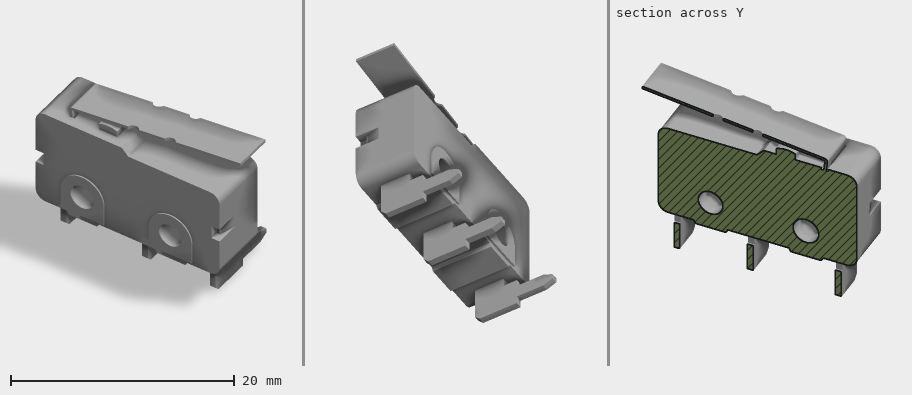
import cadquery as cq
import math

total_length = 21.4
lever_tip_height = 13.38

case_length = 19.8
case_depth = 6.1
case_height = 10.2
step_drop = 0.7
step_start = 9.27
corner_radius = 1.03

holes = ((5.1, 2.5), (14.58, 2.4))
hole_height = 2.5
pad_radius = 2.31
pad_bottom = 0.28
front_pad_thickness = 0.15
back_pad_thickness = 0.17
pad_to_pad_depth = front_pad_thickness + case_depth + back_pad_thickness
foot_height = 0.35
foot_top_width = 3.43
foot_bottom_width = 3.05

recess_bottom = 4.17
recess_height = 1.4
recess_depth = 0.85
recess_width = 0.85
latch_depth = 0.5
latch_land = 0.13
latch_end = 2.38

terminals = ((1.86, 0.65), (10.65, 0.65), (17.95, 0.6))
shank_front = 1.7
shank_back = 4.67
plate_top = -0.88
plate_bottom = -3.7
plate_chamfer = 0.5
terminal_embed = 0.43
pin_end = 9.85
pin_taper = 0.98
pin_height = 1.33
pin_tip_height = 0.51
pin_center = -2.25

lever_angle = 6.5
lever_thickness = 0.3
lever_bend_x = 2.9
lever_front = 1.0
lever_width = 4.0
leg_length = 1.6
bend_radius = 0.35
notch_positions = (9.85, 13.8)
notch_radius = 0.66
notch_reach = 0.36

slot_start = 2.91
slot_length = 0.62
slot_clearance = 0.09
slot_depth = 0.21

plunger_start = 6.12
plunger_length = 1.97
plunger_side_height = 0.62
plunger_crown = 0.21


def along_y(plane_y, outline, depth):
    """Extrude an outline drawn in XZ from plane_y toward +Y."""
    return outline(cq.Workplane("XZ", origin=(0, plane_y, 0))).extrude(-depth)


def make_case():
    low_top = case_height - step_drop
    outline = [
        (0, 0),
        (case_length, 0),
        (case_length, low_top),
        (step_start + step_drop, low_top),
        (step_start, case_height),
        (0, case_height),
    ]
    case = along_y(0, lambda plane: plane.polyline(outline).close(), case_depth)
    return case.edges("|Y and (<X or >X)").fillet(corner_radius)


def make_pad(center_x):
    """Arched pad standing proud of the front and back walls."""
    def arch(plane):
        return (
            plane.moveTo(center_x - pad_radius, pad_bottom)
            .lineTo(center_x + pad_radius, pad_bottom)
            .lineTo(center_x + pad_radius, hole_height)
            .threePointArc((center_x, hole_height + pad_radius), (center_x - pad_radius, hole_height))
            .close()
        )

    return along_y(-front_pad_thickness, arch, pad_to_pad_depth)


def make_foot(center_x):
    outline = [
        (center_x - foot_top_width / 2, 0),
        (center_x - foot_bottom_width / 2, -foot_height),
        (center_x + foot_bottom_width / 2, -foot_height),
        (center_x + foot_top_width / 2, 0),
    ]
    return along_y(0, lambda plane: plane.polyline(outline).close(), case_depth)


def make_hole(center_x, diameter):
    return along_y(
        -front_pad_thickness,
        lambda plane: plane.center(center_x, hole_height).circle(diameter / 2),
        pad_to_pad_depth,
    )


def make_recess():
    """Left end recess: open to the front, with a latch wedge rising to the end wall."""
    outline = [
        (0, 0),
        (recess_depth, 0),
        (recess_depth, recess_width),
        (latch_depth, recess_width),
        (latch_depth, recess_width + latch_land),
        (0, latch_end),
    ]
    return (
        cq.Workplane("XY", origin=(0, 0, recess_bottom))
        .polyline(outline)
        .close()
        .extrude(recess_height)
    )


def make_terminal(center_x, thickness):
    pin_top = pin_center + pin_height / 2
    pin_bottom = pin_center - pin_height / 2
    outline = [
        (shank_front, terminal_embed),
        (shank_back, terminal_embed),
        (shank_back, plate_top),
        (case_depth, plate_top),
        (case_depth, pin_top),
        (pin_end - pin_taper, pin_top),
        (pin_end, pin_center + pin_tip_height / 2),
        (pin_end, pin_center - pin_tip_height / 2),
        (pin_end - pin_taper, pin_bottom),
        (case_depth, pin_bottom),
        (case_depth, plate_bottom),
        (shank_front + plate_chamfer, plate_bottom),
        (shank_front, plate_bottom + plate_chamfer),
    ]
    start_x = center_x - thickness / 2
    return cq.Workplane("YZ", origin=(start_x, 0, 0)).polyline(outline).close().extrude(thickness)


def make_lever():
    """Build the bent strip flat with its outer bend corner at the origin, then tilt it."""
    tilt = math.radians(lever_angle)
    arm_run = total_length - lever_bend_x - lever_thickness * math.sin(tilt)
    arm_length = arm_run / math.cos(tilt)
    bend_z = lever_tip_height - arm_length * math.sin(tilt)
    outline = [
        (0, 0),
        (arm_length, 0),
        (arm_length, -lever_thickness),
        (lever_thickness, -lever_thickness),
        (lever_thickness, -leg_length),
        (0, -leg_length),
    ]
    lever = along_y(0, lambda plane: plane.polyline(outline).close(), lever_width)
    lever = lever.edges(cq.selectors.NearestToPointSelector((0, lever_width / 2, 0))).fillet(bend_radius)

    edge_offset = notch_radius - notch_reach
    for notch_x in notch_positions:
        arm_position = (notch_x - lever_bend_x) / math.cos(tilt)
        for center_y in (-edge_offset, lever_width + edge_offset):
            notch = (
                cq.Workplane("XY", origin=(arm_position, center_y, -lever_thickness))
                .circle(notch_radius)
                .extrude(lever_thickness)
            )
            lever = lever.cut(notch)

    return lever.rotate((0, 0, 0), (0, 1, 0), -lever_angle).translate((lever_bend_x, lever_front, bend_z))


def make_leg_slot():
    return cq.Workplane("XY").box(
        slot_length, lever_width + slot_clearance, slot_depth, centered=False
    ).translate((slot_start, lever_front, case_height - slot_depth))


def make_plunger():
    side_top = case_height + plunger_side_height

    def crowned(plane):
        return (
            plane.moveTo(plunger_start, case_height)
            .lineTo(plunger_start + plunger_length, case_height)
            .lineTo(plunger_start + plunger_length, side_top)
            .threePointArc(
                (plunger_start + plunger_length / 2, side_top + plunger_crown),
                (plunger_start, side_top),
            )
            .close()
        )

    return along_y(lever_front, crowned, lever_width)


result = make_case()

for center_x, diameter in holes:
    result = result.union(make_pad(center_x)).union(make_foot(center_x))
    result = result.cut(make_hole(center_x, diameter))

left_recess = make_recess()
right_recess = left_recess.mirror("YZ", (case_length / 2, 0, 0))
result = result.cut(left_recess).cut(right_recess).cut(make_leg_slot())

for center_x, thickness in terminals:
    result = result.union(make_terminal(center_x, thickness))

result = result.union(make_plunger()).union(make_lever())